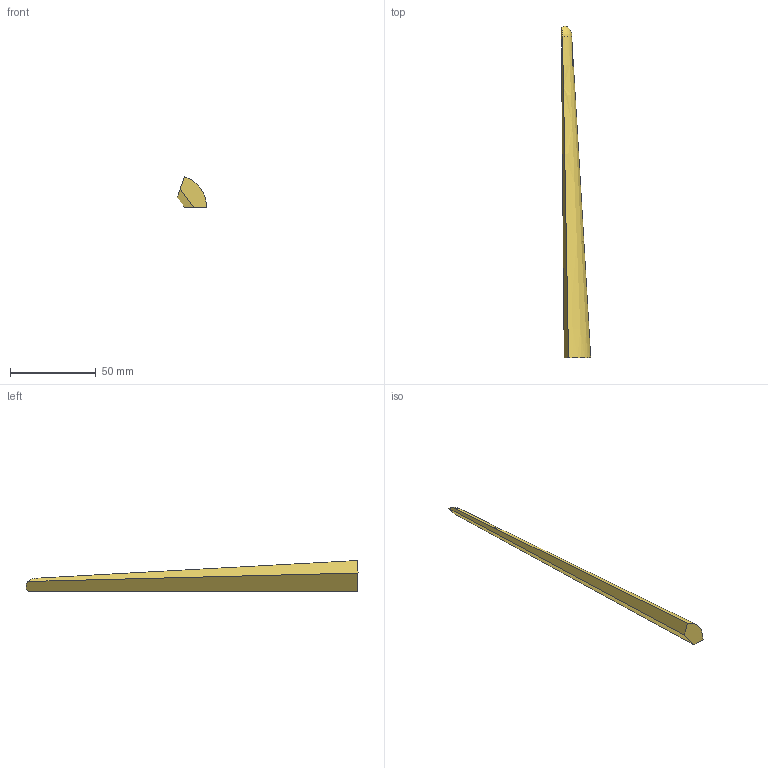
import math

import cadquery as cq

BUTT_CENTRE = cq.Vector(-1.97, 0.16, 0.0)
BUTT_RADIUS = 19.08
NOSE_CENTRE = cq.Vector(-0.45, 187.93, 1.2)
NOSE_RADIUS = 6.6

NOSE_Y = 193.8
NOSE_RIDGE_Z = 5.8
BUTT_RIDGE_Z = 10.75
UPPER_FACE_LEAN = 0.343

BUTT_BASE_LEFT_X = 9.7

REACH = 60.0
END_CLEARANCE = 10.0


def round_bar():
    """Half profile revolved about the skewed axis."""
    axis = NOSE_CENTRE - BUTT_CENTRE
    length = axis.Length
    middle = NOSE_RADIUS * math.sqrt(0.5)
    across = cq.Vector(0, 0, 1).cross(axis)
    plane = cq.Plane(origin=BUTT_CENTRE, xDir=across, normal=across.cross(axis))
    return (
        cq.Workplane(plane)
        .lineTo(BUTT_RADIUS, 0)
        .lineTo(NOSE_RADIUS, length)
        .threePointArc((middle, length + middle), (0, length + NOSE_RADIUS))
        .close()
        .revolve(360, (0, 0), (0, 1))
    )


def ridge_point(y, z):
    """Point of the upper side face at height z."""
    return cq.Vector(UPPER_FACE_LEAN * (z - NOSE_RIDGE_Z), y, z)


def upper_prism():
    """Space right of the upper side face and above the base, running along Y."""
    low_x = ridge_point(0, 0).x
    high_x = ridge_point(0, REACH).x
    return (
        cq.Workplane("XZ", origin=(0, NOSE_Y + END_CLEARANCE, 0))
        .polyline([(low_x, 0), (high_x, REACH), (REACH, REACH), (REACH, 0)])
        .close()
        .extrude(NOSE_Y + 2 * END_CLEARANCE)
    )


def lower_side_block():
    """Block whose top is the lower side face, standing below and left of it."""
    butt_ridge = ridge_point(0, BUTT_RIDGE_Z)
    nose_ridge = ridge_point(NOSE_Y, NOSE_RIDGE_Z)
    along = nose_ridge - butt_ridge
    down = cq.Vector(BUTT_BASE_LEFT_X, 0, 0) - butt_ridge
    plane = cq.Plane(origin=(butt_ridge + nose_ridge) * 0.5, xDir=along, normal=down.cross(along))
    return cq.Workplane(plane).rect(along.Length + REACH, REACH).extrude(-REACH)


result = round_bar().intersect(upper_prism()).cut(lower_side_block())